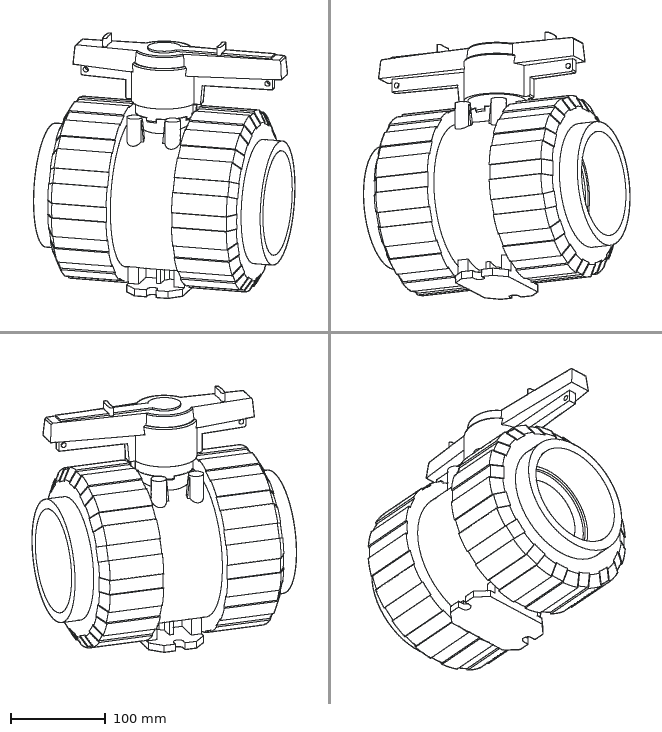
import cadquery as cq
import math


body_radius = 79.7
body_half_length = 79.2
bore_radius = 40.0
connector_end = 124.5
connector_radius = 65.8
socket_radius = 55.3
socket_depth = 42.5
seat_radius = 51.8

nut_inner_end = 36.0
nut_outer_end = 103.5
nut_radius = 96.4
nut_chamfer_length = 7.5
nut_face_radius = 84.0
groove_count = 16
groove_width = 16.0
groove_depth = 2.0

stem_base = 53.7
neck_radius = 29.0
collar_radius = 30.5
collar_bottom = 90.2
lug_count = 4
lug_angle = 22.0
lug_bottom = 87.5
lug_taper_bottom = 85.5
post_radius = 8.0
post_x = 21.0
post_y = 40.0
post_top = 93.5
gusset_reach = 10.5
gusset_width = 4.5
gusset_top = 90.7
gusset_taper_bottom = 67.0
gusset_offset = 2.7

foot_half_length = 31.0
foot_half_width = 49.0
foot_bottom = -99.8
foot_thickness = 7.8
foot_chamfer_x = 12.5
foot_chamfer_y = 13.0
foot_slot_radius = 5.5
foot_slot_depth = 10.7
foot_root = -53.7
leg_length = 11.5
leg_half_width = 30.0
web_thickness = 4.5
web_half_width = 21.5
boss_radius = 7.0

hub_radius = 34.5
hub_bottom = 102.8
hub_shoulder = 146.5
hub_shoulder_chamfer = 1.5
cap_bottom_radius = 32.2
cap_top_radius = 30.5
cap_chamfer = 1.3
handle_top = 159.5
arm_left = -96.0
arm_right = 132.0
arm_end_draft = 1.3
arm_end_chamfer = 1.5
arm_end_underside = 138.5
arm_end_band = 2.0
arm_hub_underside = 136.5
arm_bottom_half_widths = (14.5, 21.2, 12.0)
arm_top_half_widths = (11.8, 17.5, 9.5)
rib_left = -90.5
rib_right = 120.0
rib_root = 145.0
rib_end_bottom = 124.5
rib_hub_bottom = 123.5
rib_corner = 1.5
rib_end_half_width = 4.3
rib_center_half_width = 6.0
gusset_left = -41.0
gusset_right_top = 43.2
gusset_right_bottom = 41.3
tie_hole_radius = 2.7
tie_hole_inset = 5.5
tie_hole_z = 131.0
plate_radius = 17.5
plate_half_width = 7.5
plate_end = 119.7
plate_thickness = 2.0
bar_path_radius = 63.3
bar_thickness = 4.3
bar_half_length = 11.3
bar_top = 168.5


def x_cylinder(radius, start, end):
    return cq.Workplane("YZ").workplane(offset=start).circle(radius).extrude(end - start)


def z_cylinder(radius, bottom, top):
    return cq.Workplane("XY").workplane(offset=bottom).circle(radius).extrude(top - bottom)


def block(x_range, y_range, z_range):
    size = [high - low for low, high in (x_range, y_range, z_range)]
    corner = (x_range[0], y_range[0], z_range[0])
    return cq.Workplane("XY").box(*size, centered=False).translate(corner)


def post_gusset():
    """Tapered gusset that leans on the side of a post at the origin, pointing to +X."""
    outline = [
        (0, stem_base),
        (gusset_reach, stem_base),
        (gusset_reach, gusset_taper_bottom),
        (post_radius, gusset_top),
        (0, gusset_top),
    ]
    return cq.Workplane("XZ").polyline(outline).close().extrude(gusset_width / 2, both=True)


def make_post(side_x, side_y):
    """Post in one quadrant, with a gusset toward each of the body's two middle planes."""
    post = z_cylinder(post_radius, stem_base, post_top)
    along_x = post_gusset()
    along_y = post_gusset().rotate((0, 0, 0), (0, 0, 1), 90).translate((-gusset_offset, 0, 0))
    post = post.union(along_x).union(along_y).translate((-post_x, -post_y, 0))
    if side_x > 0:
        post = post.mirror("YZ")
    if side_y > 0:
        post = post.mirror("XZ")
    return post


def make_stem():
    """Neck and wider collar; reliefs cut up into the collar leave stop lugs that taper to the neck."""
    collar = (
        cq.Workplane("XZ")
        .moveTo(0, lug_taper_bottom)
        .lineTo(neck_radius, lug_taper_bottom)
        .lineTo(collar_radius, lug_bottom)
        .lineTo(collar_radius, hub_bottom)
        .lineTo(0, hub_bottom)
        .close()
        .revolve(360, (0, 0, 0), (0, 1, 0))
    )
    lug_pitch = 360 / lug_count
    relief = (
        cq.Workplane("XZ")
        .rect(2 * collar_radius, collar_bottom, centered=False)
        .revolve(lug_pitch - lug_angle, (0, 0, 0), (0, 1, 0))
    )
    for index in range(lug_count):
        collar = collar.cut(relief.rotate((0, 0, 0), (0, 0, 1), index * lug_pitch))
    return z_cylinder(neck_radius, stem_base, hub_bottom).union(collar)


def make_foot():
    """Slotted plate carried by two legs, a web along X, a center boss and a web along Y."""
    plate_top = foot_bottom + foot_thickness
    chamfer_x = foot_half_length - foot_chamfer_x
    chamfer_y = foot_half_width - foot_chamfer_y
    outline = [
        (-foot_half_length, -chamfer_y),
        (-chamfer_x, -foot_half_width),
        (chamfer_x, -foot_half_width),
        (foot_half_length, -chamfer_y),
        (foot_half_length, chamfer_y),
        (chamfer_x, foot_half_width),
        (-chamfer_x, foot_half_width),
        (-foot_half_length, chamfer_y),
    ]
    foot = cq.Workplane("XY").workplane(offset=foot_bottom).polyline(outline).close().extrude(foot_thickness)
    slots = (
        cq.Workplane("XY")
        .workplane(offset=foot_bottom)
        .pushPoints([(0, -foot_half_width), (0, foot_half_width)])
        .slot2D(2 * foot_slot_depth, 2 * foot_slot_radius, 90)
        .extrude(foot_thickness)
    )
    foot = foot.cut(slots)

    height = (plate_top, foot_root)
    leg_inner = foot_half_length - leg_length
    for x_range in ((-foot_half_length, -leg_inner), (leg_inner, foot_half_length)):
        foot = foot.union(block(x_range, (-leg_half_width, leg_half_width), height))
    half_web = web_thickness / 2
    foot = foot.union(block((-leg_inner, leg_inner), (-half_web, half_web), height))
    foot = foot.union(block((-half_web, half_web), (-web_half_width, web_half_width), height))
    return foot.union(z_cylinder(boss_radius, *height))


def make_body():
    body = x_cylinder(body_radius, -body_half_length, body_half_length)
    body = body.union(make_stem()).union(make_foot())
    for side_x in (-1, 1):
        for side_y in (-1, 1):
            body = body.union(make_post(side_x, side_y))
    return body.cut(x_cylinder(bore_radius, -body_half_length, body_half_length))


def make_connector():
    """Pipe socket on the +X side, butting against the end face of the body."""
    connector = x_cylinder(connector_radius, body_half_length, connector_end)
    connector = connector.cut(x_cylinder(socket_radius, connector_end - socket_depth, connector_end))
    return connector.cut(x_cylinder(seat_radius, body_half_length, connector_end))


def nut_blank(inset):
    """Solid of the nut's outer form, with its outer surface moved inward by the inset."""
    return (
        cq.Workplane("XY")
        .moveTo(nut_inner_end, 0)
        .lineTo(nut_inner_end, nut_radius - inset)
        .lineTo(nut_outer_end - nut_chamfer_length, nut_radius - inset)
        .lineTo(nut_outer_end, nut_face_radius - inset)
        .lineTo(nut_outer_end, 0)
        .close()
        .revolve(360, (0, 0, 0), (1, 0, 0))
    )


def make_nut():
    """Union nut on the +X side: grip grooves outside, stepped bore over body and connector."""
    nut = nut_blank(0)
    rim = nut.cut(nut_blank(groove_depth))
    half_groove = groove_width / 2
    groove_bar = block((nut_inner_end, nut_outer_end), (-half_groove, half_groove), (0, nut_radius))
    for index in range(groove_count):
        turned_bar = groove_bar.rotate((0, 0, 0), (1, 0, 0), index * 360 / groove_count)
        nut = nut.cut(rim.intersect(turned_bar))
    nut = nut.cut(x_cylinder(body_radius, nut_inner_end, body_half_length))
    return nut.cut(x_cylinder(connector_radius, body_half_length, nut_outer_end))


def plan_outline(left, right, half_widths):
    """Symmetric six-sided plan: half widths at the left end, at the stem axis and at the right end."""
    at_left, at_center, at_right = half_widths
    return [
        (left, -at_left),
        (0, -at_center),
        (right, -at_right),
        (right, at_right),
        (0, at_center),
        (left, at_left),
    ]


def make_arms():
    """Both arms: drafted sides from a loft, trimmed by the side profile."""
    plan = (
        cq.Workplane("XY")
        .workplane(offset=arm_hub_underside)
        .polyline(plan_outline(arm_left, arm_right, arm_bottom_half_widths))
        .close()
        .workplane(offset=handle_top - arm_hub_underside)
        .polyline(plan_outline(arm_left, arm_right, arm_top_half_widths))
        .close()
        .loft(ruled=True)
    )
    top_left = arm_left + arm_end_draft
    top_right = arm_right - arm_end_draft
    profile = [
        (arm_left, arm_end_underside),
        (-hub_radius, arm_hub_underside),
        (hub_radius, arm_hub_underside),
        (arm_right, arm_end_underside),
        (arm_right, arm_end_underside + arm_end_band),
        (top_right, handle_top - arm_end_chamfer),
        (top_right - arm_end_chamfer, handle_top),
        (top_left + arm_end_chamfer, handle_top),
        (top_left, handle_top - arm_end_chamfer),
        (arm_left, arm_end_underside + arm_end_band),
    ]
    side = cq.Workplane("XZ").polyline(profile).close().extrude(hub_radius, both=True)
    return plan.intersect(side)


def make_rib():
    """Rib under both arms with gussets down the hub, thinner toward its ends, with a tie hole at each end."""
    profile = [
        (rib_left, rib_root),
        (rib_left, rib_end_bottom + rib_corner),
        (rib_left + rib_corner, rib_end_bottom),
        (gusset_left, rib_hub_bottom),
        (gusset_left, hub_bottom + rib_corner),
        (gusset_left + rib_corner, hub_bottom),
        (gusset_right_bottom, hub_bottom),
        (gusset_right_top, rib_hub_bottom),
        (rib_right, rib_end_bottom),
        (rib_right, rib_root),
    ]
    side = cq.Workplane("XZ").polyline(profile).close().extrude(hub_radius, both=True)
    half_widths = (rib_end_half_width, rib_center_half_width, rib_end_half_width)
    plan = (
        cq.Workplane("XY")
        .workplane(offset=hub_bottom)
        .polyline(plan_outline(rib_left, rib_right, half_widths))
        .close()
        .extrude(rib_root - hub_bottom)
    )
    tie_holes = (
        cq.Workplane("XZ")
        .pushPoints([(rib_left + tie_hole_inset, tie_hole_z), (rib_right - tie_hole_inset, tie_hole_z)])
        .circle(tie_hole_radius)
        .extrude(hub_radius, both=True)
    )
    return plan.intersect(side).cut(tie_holes)


def make_hub():
    """Skirt that stands on the stem collar, topped by a slightly conical cap."""
    return (
        cq.Workplane("XZ")
        .moveTo(0, hub_bottom)
        .lineTo(hub_radius, hub_bottom)
        .lineTo(hub_radius, hub_shoulder - hub_shoulder_chamfer)
        .lineTo(hub_radius - hub_shoulder_chamfer, hub_shoulder)
        .lineTo(cap_bottom_radius, hub_shoulder)
        .lineTo(cap_top_radius, handle_top - cap_chamfer)
        .lineTo(cap_top_radius - cap_chamfer, handle_top)
        .lineTo(0, handle_top)
        .close()
        .revolve(360, (0, 0, 0), (0, 1, 0))
    )


def make_plate():
    """Raised keyhole-shaped plate on top of the handle."""
    plate_top = handle_top + plate_thickness
    disc = z_cylinder(plate_radius, handle_top, plate_top)
    strip = block((0, plate_end), (-plate_half_width, plate_half_width), (handle_top, plate_top))
    return disc.union(strip)


def make_bar():
    """Upright bar on the +X arm, bent around the stem axis, with rounded ends."""
    end_radius = bar_thickness / 2
    end_angle = math.asin((bar_half_length - end_radius) / bar_path_radius)
    outer = bar_path_radius + end_radius
    inner = bar_path_radius - end_radius

    def at(radius, angle):
        return (radius * math.cos(angle), radius * math.sin(angle))

    def tip(side):
        x, y = at(bar_path_radius, side * end_angle)
        return (x - end_radius * math.sin(end_angle), y + side * end_radius * math.cos(end_angle))

    return (
        cq.Workplane("XY")
        .workplane(offset=handle_top)
        .moveTo(*at(outer, -end_angle))
        .threePointArc(at(outer, 0), at(outer, end_angle))
        .threePointArc(tip(1), at(inner, end_angle))
        .threePointArc(at(inner, 0), at(inner, -end_angle))
        .threePointArc(tip(-1), at(outer, -end_angle))
        .close()
        .extrude(bar_top - handle_top)
    )


def make_handle():
    handle = make_hub().union(make_rib()).union(make_arms()).union(make_plate())
    bar = make_bar()
    return handle.union(bar).union(bar.mirror("YZ"))


body = make_body()
handle = make_handle()

connectors = []
nuts = []
for turn in (0, 180):
    connectors.append(make_connector().rotate((0, 0, 0), (0, 0, 1), turn))
    nuts.append(make_nut().rotate((0, 0, 0), (0, 0, 1), turn))

result = cq.Compound.makeCompound(
    [part.solids().val() for part in (body, handle, *connectors, *nuts)]
)